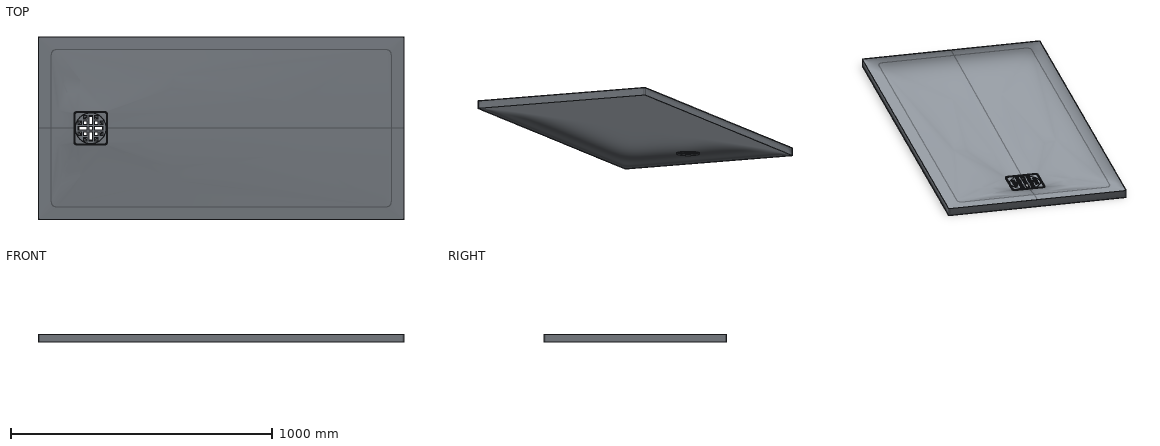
import cadquery as cq

LENGTH = 1400.0
WIDTH = 700.0
HEIGHT = 30.0
OUTER_RADIUS = 4.0
RIM_WIDTH = 49.0
RIM_DROP = 1.1
BASIN_RADIUS = 20.0
FLOOR_DROP = 14.0
FILL_DEGREE = 2

DRAIN_X = -500.0
RECESS_SIZE = 129.0
RECESS_RADIUS = 11.0
SUMP_DIAMETER = 118.0
SUMP_DEPTH = 5.0
DRAIN_HOLE_DIAMETER = 90.0

GRATE_THICKNESS = 3.0
GRATE_GAP = 4.0
OPENING_PITCH = 21.0
OPENING_WIDTH = 11.9

BASIN_LENGTH = LENGTH - 2 * RIM_WIDTH
BASIN_WIDTH = WIDTH - 2 * RIM_WIDTH
GRATE_SIZE = RECESS_SIZE - 2 * GRATE_GAP
GRATE_RADIUS = RECESS_RADIUS - GRATE_GAP
BASIN_Z = HEIGHT - RIM_DROP
DRAIN_Z = BASIN_Z - FLOOR_DROP
RECESS_Z = DRAIN_Z - GRATE_THICKNESS
SUMP_Z = RECESS_Z - SUMP_DEPTH


def half_outline(center_x, length, width, radius, z):
    """Edges of the +Y half of a rounded rectangle, from its left to its right middle."""
    left = center_x - length / 2
    right = center_x + length / 2
    back = width / 2
    bend = radius * (1 - 0.5**0.5)
    outline = (
        cq.Workplane("XY", origin=(0, 0, z))
        .moveTo(left, 0)
        .lineTo(left, back - radius)
        .threePointArc((left + bend, back - bend), (left + radius, back))
        .lineTo(right - radius, back)
        .threePointArc((right - bend, back - bend), (right, back - radius))
        .lineTo(right, 0)
        .wire()
    )
    return outline.val().Edges()


def end_points(edges):
    """Left and right end points of a half outline."""
    return edges[0].startPoint(), edges[-1].endPoint()


def flat_face(edges):
    """Level face closed by a straight chord between the ends of a half outline."""
    chord = cq.Edge.makeLine(*end_points(edges))
    return cq.Face.makeFromWires(cq.Wire.assembleEdges([*edges, chord]))


def sloped_face(outer, inner):
    """One smooth face between two half outlines."""
    joints = [cq.Edge.makeLine(a, b) for a, b in zip(end_points(outer), end_points(inner))]
    return cq.Face.makeNSidedSurface([*outer, *inner, *joints], [], degree=FILL_DEGREE)


def make_half_tray():
    """The +Y half of the tray, without the drain, closed by a face on the middle plane."""
    base = half_outline(0, LENGTH, WIDTH, OUTER_RADIUS, 0)
    rim = half_outline(0, LENGTH, WIDTH, OUTER_RADIUS, HEIGHT)
    basin = half_outline(0, BASIN_LENGTH, BASIN_WIDTH, BASIN_RADIUS, BASIN_Z)
    drain = half_outline(DRAIN_X, RECESS_SIZE, RECESS_SIZE, RECESS_RADIUS, DRAIN_Z)

    sides = [cq.Face.makeRuledSurface(low, high) for low, high in zip(base, rim)]
    lefts, rights = zip(*[end_points(edges) for edges in (base, rim, basin, drain)])
    profile = cq.Wire.makePolygon([*lefts, *reversed(rights)], close=True)
    faces = [
        *sides,
        flat_face(base),
        flat_face(drain),
        cq.Face.makeFromWires(profile),
        sloped_face(rim, basin),
        sloped_face(basin, drain),
    ]
    return cq.Workplane(cq.Solid.makeSolid(cq.Shell.makeShell(faces)))


def drain_plane(z):
    """Level workplane centred on the drain."""
    return cq.Workplane("XY", origin=(DRAIN_X, 0, z))


def rounded_plate(size, radius):
    """Square plate, as thick as the grate, standing on the recess floor."""
    plate = drain_plane(RECESS_Z).rect(size, size).extrude(GRATE_THICKNESS)
    return plate.edges("|Z").fillet(radius)


def make_tray():
    half = make_half_tray()
    recess = rounded_plate(RECESS_SIZE, RECESS_RADIUS)
    sump = drain_plane(SUMP_Z).circle(SUMP_DIAMETER / 2).extrude(SUMP_DEPTH)
    hole = drain_plane(0).circle(DRAIN_HOLE_DIAMETER / 2).extrude(DRAIN_Z)
    return half.union(half.mirror("XZ")).cut(recess).cut(sump).cut(hole)


def opening(x, y, x_size=OPENING_WIDTH, y_size=OPENING_WIDTH):
    """Cutter for one opening, placed from the middle of the grate."""
    return drain_plane(RECESS_Z).center(x, y).rect(x_size, y_size).extrude(GRATE_THICKNESS)


def make_grate():
    grate = rounded_plate(GRATE_SIZE, GRATE_RADIUS).cut(opening(0, 0))

    slot_length = OPENING_PITCH + OPENING_WIDTH
    slot_center = 1.5 * OPENING_PITCH
    for side in (-1, 1):
        grate = grate.cut(opening(side * slot_center, 0, x_size=slot_length))
        grate = grate.cut(opening(0, side * slot_center, y_size=slot_length))

    for x_side in (-1, 1):
        for y_side in (-1, 1):
            for column, row in ((1, 1), (2, 1), (1, 2)):
                x = x_side * column * OPENING_PITCH
                y = y_side * row * OPENING_PITCH
                grate = grate.cut(opening(x, y))
    return grate


tray = make_tray()
grate = make_grate()
result = cq.Compound.makeCompound([tray.val(), grate.val()])